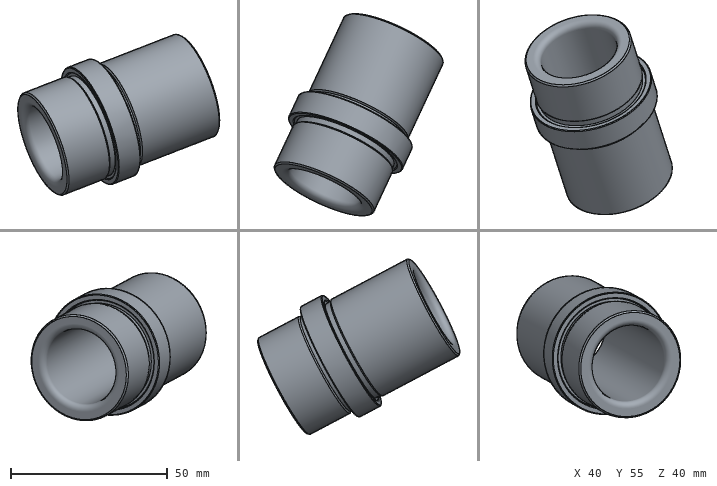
import cadquery as cq

length = 55.0
flange_radius = 40.0 / 2
body_radius = 17.5
bore_radius = 12.5
bore_rounding = 2.0
end_chamfer = 0.5
flange_chamfer = 0.3

flange_front = 17.0
flange_width = 8.0
flange_back = flange_front + flange_width

groove_width = 2.0
groove_depth = 0.5
groove_radius = body_radius - groove_depth
undercut_radius = 18.25
undercut_depth = 0.35
undercut_floor_radius = undercut_radius - undercut_depth


def ring(outer_radius, start, end):
    """Solid disc about the Y axis between two axial positions."""
    return (
        cq.Workplane("XZ", origin=(0, start, 0))
        .circle(outer_radius)
        .extrude(start - end)
    )


def relief_groove(flange_face, away):
    """Groove beside a flange face; away is the axial direction leaving the flange."""
    outer_end = flange_face + away * groove_width
    bottom_end = outer_end - away * groove_depth
    inside_flange = flange_face - away * undercut_depth
    return (
        cq.Workplane("XY")
        .moveTo(body_radius, outer_end)
        .lineTo(groove_radius, bottom_end)
        .lineTo(groove_radius, inside_flange)
        .lineTo(undercut_floor_radius, inside_flange)
        .lineTo(undercut_radius, flange_face)
        .lineTo(body_radius, flange_face)
        .close()
        .revolve(360, (0, 0, 0), (0, 1, 0))
    )


body = ring(body_radius, 0, length).edges("%CIRCLE").chamfer(end_chamfer)
flange = ring(flange_radius, flange_front, flange_back).edges("%CIRCLE").chamfer(flange_chamfer)
result = body.union(flange)

for face, direction in ((flange_front, -1), (flange_back, 1)):
    result = result.cut(relief_groove(face, direction))

result = result.cut(ring(bore_radius, 0, length))
for end_face in ("<Y", ">Y"):
    result = result.faces(end_face).edges(cq.selectors.RadiusNthSelector(0)).fillet(bore_rounding)

result = result.translate((0, -length / 2, 0))